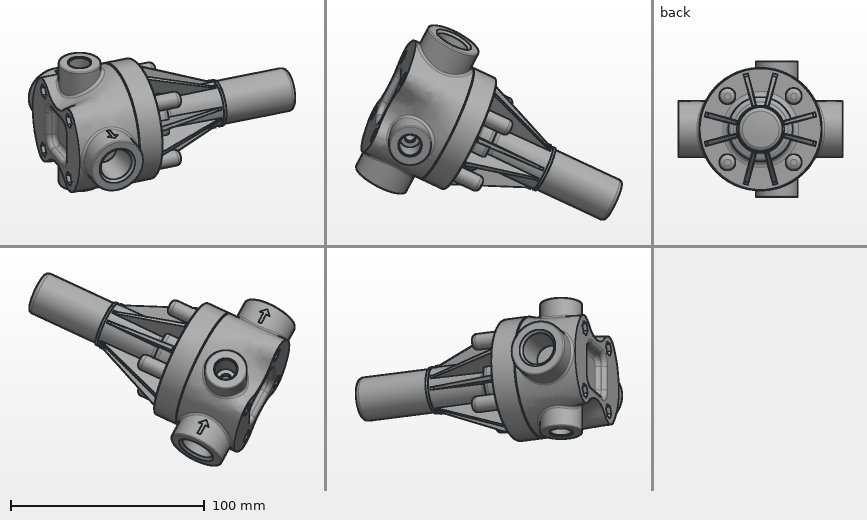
import cadquery as cq
import math


EMBED = 1.0

TOTAL_LENGTH = 130.38
FRONT_Y = -16.6
REAR_Y = FRONT_Y + TOTAL_LENGTH
BODY_LENGTH = 33.4
JOINT_Y = FRONT_Y + BODY_LENGTH
FLANGE_THICKNESS = 13.2
FLANGE_BACK_Y = JOINT_Y + FLANGE_THICKNESS

FLANGE_RADIUS = 63.5 / 2
FLANGE_CHAMFER = 0.4
LOBE_RADIUS = 8.0
LOBE_TOP = 23.8
SCALLOP_BOTTOM = 16.3
OUTLINE_POINTS = 48

EDGE_SAMPLE = 0.37
EDGE_TOLERANCE = 0.01

PORT_ROOT_DEPTH = 16.0
PORT_ROOT_FILLET = 1.3

SIDE_PORT_RADIUS = 29.18 / 2
SIDE_PORT_END = 85.09 / 2
SIDE_RIM_ROUND = 0.65
SIDE_BORE_RIM_RADIUS = 9.95
SIDE_BORE_RADIUS = 8.55
SIDE_BORE_END_RADIUS = 6.95
SIDE_BORE_CHAMFER = 1.4
SIDE_BORE_DEPTH = 18.0

GAUGE_PORT_X = -8.4
GAUGE_PORT_RADIUS = 21.84 / 2
GAUGE_PORT_END = 70.21 / 2
GAUGE_RIM_ROUND = 0.6
GAUGE_BORE_RADIUS = 11.11 / 2
GAUGE_BORE_CHAMFER = 0.6
GAUGE_BORE_DEPTH = 13.0
PILOT_RADIUS = 5.84 / 2
PILOT_DEPTH = 3.0
DRILL_POINT_HALF_ANGLE = 59.0

POCKET_WIDTH = 30.3
POCKET_HEIGHT = 28.0
POCKET_CORNER = 7.6
POCKET_ROUND = 2.54
POCKET_DEPTH = 5.2

BOLT_OFFSET = 17.1
BOLT_RADIUS = 8.38 / 2
BOLT_LENGTH = 15.3
BOLT_END_ROUND = 2.5
SOCKET_ACROSS_FLATS = 6.53
SOCKET_DEPTH = 3.0

BARREL_RADIUS = 22.73 / 2
BARREL_END_ROUND = 2.2
BARREL_DOME_HEIGHT = 0.9
NECK_RADIUS = 11.8
RING_RADIUS = 24.38 / 2
RING_WIDTH = 1.4
NECK_LENGTH = 43.7
COLLAR_RADIUS = 16.6
COLLAR_TOP_HEIGHT = 13.1
COLLAR_ROOT_FILLET = 3.0

RIB_ANGLE_FROM_AXES = 15.0
RIB_TOP_HEIGHT = 41.0
RIB_SLOPE_START_HEIGHT = 39.0
RIB_TOP_RADIUS = 12.55
RIB_FOOT_RADIUS = 28.2
RIB_FLARE = 1.3
RIB_TOP_THICKNESS = 1.4
RIB_FOOT_THICKNESS = 2.4

ARROW_LENGTH = 8.6
ARROW_HEAD_LENGTH = 2.9
ARROW_HEAD_WIDTH = 5.7
ARROW_SHAFT_WIDTH = 1.7
ARROW_HEIGHT = 0.12
ARROW_TIPS_X = (-30.6, 39.2)


def ray_circle(angle, center_x, center_z, radius, side):
    """Distance from the valve axis to a circle along a ray; side +1 is the far hit, -1 the near hit."""
    along = center_x * math.cos(angle) + center_z * math.sin(angle)
    across = center_x * math.sin(angle) - center_z * math.cos(angle)
    return along + side * math.sqrt(max(radius**2 - across**2, 0.0))


def front_outline_radius(angle):
    """Polar radius of the front face: round sides, four lobes, and a scallop above and below."""
    lobe_z = LOBE_TOP - LOBE_RADIUS
    lobe_x = math.sqrt((FLANGE_RADIUS - LOBE_RADIUS) ** 2 - lobe_z**2)
    gap = SCALLOP_BOTTOM - lobe_z
    scallop_radius = (lobe_x**2 + gap**2 - LOBE_RADIUS**2) / (2 * (LOBE_RADIUS - gap))
    scallop_z = SCALLOP_BOTTOM + scallop_radius
    share = LOBE_RADIUS / (LOBE_RADIUS + scallop_radius)
    lobe_start = math.atan2(lobe_z, lobe_x)
    lobe_end = math.atan2(lobe_z + share * (scallop_z - lobe_z), lobe_x * (1 - share))

    folded = math.atan2(abs(math.sin(angle)), abs(math.cos(angle)))
    if folded <= lobe_start:
        return FLANGE_RADIUS
    if folded <= lobe_end:
        return ray_circle(folded, lobe_x, lobe_z, LOBE_RADIUS, 1)
    return ray_circle(folded, 0.0, scallop_z, scallop_radius, -1)


def closed_section(y, radius_at):
    """Smooth closed wire around the Y axis, with its polar radius given as a function of the angle."""
    points = []
    for i in range(OUTLINE_POINTS):
        angle = 2 * math.pi * i / OUTLINE_POINTS
        radius = radius_at(angle)
        points.append(cq.Vector(radius * math.cos(angle), y, radius * math.sin(angle)))
    return cq.Wire.assembleEdges([cq.Edge.makeSpline(points, periodic=True)])


def cylinder(radius, length, start, direction):
    return cq.Workplane(cq.Solid.makeCylinder(radius, length, cq.Vector(*start), cq.Vector(*direction)))


def is_port_root(edge):
    """True for an edge where a port wall meets the cast body."""
    box = edge.BoundingBox()
    point = edge.positionAt(EDGE_SAMPLE)
    on_side = abs(math.hypot(point.y, point.z) - SIDE_PORT_RADIUS) < EDGE_TOLERANCE
    on_gauge = abs(math.hypot(point.x - GAUGE_PORT_X, point.y) - GAUGE_PORT_RADIUS) < EDGE_TOLERANCE
    side_root = on_side and box.xlen > EDGE_TOLERANCE
    gauge_root = on_gauge and box.zlen > EDGE_TOLERANCE
    return (side_root or gauge_root) and edge.geomType() != "LINE"


def make_flange():
    flange = cylinder(FLANGE_RADIUS, FLANGE_THICKNESS, (0, JOINT_Y, 0), (0, 1, 0))
    return flange.edges().chamfer(FLANGE_CHAMFER)


def make_stem():
    """Collar, neck, ring and domed barrel, turned about the Y axis."""
    collar_top_y = FLANGE_BACK_Y + COLLAR_TOP_HEIGHT
    step_round = (COLLAR_RADIUS - NECK_RADIUS) / 2
    step_y = collar_top_y - step_round
    neck_end_y = FLANGE_BACK_Y + NECK_LENGTH
    shoulder_y = REAR_Y - BARREL_DOME_HEIGHT
    dome_radius = (BARREL_RADIUS**2 + BARREL_DOME_HEIGHT**2) / (2 * BARREL_DOME_HEIGHT)
    profile = (
        cq.Workplane("XY")
        .moveTo(0, FLANGE_BACK_Y - EMBED)
        .lineTo(COLLAR_RADIUS + COLLAR_ROOT_FILLET, FLANGE_BACK_Y - EMBED)
        .lineTo(COLLAR_RADIUS + COLLAR_ROOT_FILLET, FLANGE_BACK_Y)
        .radiusArc((COLLAR_RADIUS, FLANGE_BACK_Y + COLLAR_ROOT_FILLET), COLLAR_ROOT_FILLET)
        .lineTo(COLLAR_RADIUS, step_y - step_round)
        .radiusArc((COLLAR_RADIUS - step_round, step_y), -step_round)
        .radiusArc((NECK_RADIUS, collar_top_y), step_round)
        .lineTo(NECK_RADIUS, neck_end_y - RING_WIDTH)
        .lineTo(RING_RADIUS, neck_end_y - RING_WIDTH)
        .lineTo(RING_RADIUS, neck_end_y)
        .lineTo(BARREL_RADIUS, neck_end_y)
        .lineTo(BARREL_RADIUS, shoulder_y)
        .radiusArc((0, REAR_Y), -dome_radius)
        .close()
    )
    stem = profile.revolve(360, (0, 0, 0), (0, 1, 0))
    return stem.edges(cq.NearestToPointSelector((0, shoulder_y, BARREL_RADIUS))).fillet(BARREL_END_ROUND)


def make_rib(angle):
    """Radial web with a sloping outer edge, thinner towards the barrel."""
    foot_y = FLANGE_BACK_Y
    top_y = foot_y + RIB_TOP_HEIGHT
    outline = (
        cq.Workplane("XY")
        .moveTo(0, foot_y - EMBED)
        .lineTo(RIB_FOOT_RADIUS + RIB_FLARE, foot_y - EMBED)
        .lineTo(RIB_FOOT_RADIUS + RIB_FLARE, foot_y)
        .lineTo(RIB_FOOT_RADIUS, foot_y + RIB_FLARE)
        .lineTo(RIB_TOP_RADIUS, foot_y + RIB_SLOPE_START_HEIGHT)
        .lineTo(RIB_TOP_RADIUS, top_y)
        .lineTo(0, top_y)
        .close()
        .extrude(RIB_FOOT_THICKNESS, both=True)
    )
    wedge = (
        cq.Workplane("YZ")
        .moveTo(foot_y - EMBED, -RIB_FOOT_THICKNESS / 2)
        .lineTo(top_y, -RIB_TOP_THICKNESS / 2)
        .lineTo(top_y, RIB_TOP_THICKNESS / 2)
        .lineTo(foot_y - EMBED, RIB_FOOT_THICKNESS / 2)
        .close()
        .extrude(FLANGE_RADIUS)
    )
    return outline.intersect(wedge).rotate((0, 0, 0), (0, 1, 0), angle)


def make_ribs():
    ribs = cq.Workplane()
    for quarter in range(4):
        for offset in (-RIB_ANGLE_FROM_AXES, RIB_ANGLE_FROM_AXES):
            ribs = ribs.add(make_rib(90 * quarter + offset))
    return ribs.combine()


def bolt_positions():
    return [(x, z) for x in (-BOLT_OFFSET, BOLT_OFFSET) for z in (-BOLT_OFFSET, BOLT_OFFSET)]


def make_bolt(x, z):
    bolt = cylinder(BOLT_RADIUS, BOLT_LENGTH + EMBED, (x, FLANGE_BACK_Y - EMBED, z), (0, 1, 0))
    return bolt.faces(">Y").edges().fillet(BOLT_END_ROUND)


def front_plane():
    """Sketch plane on the front face, with local X along +X and local Y along +Z."""
    return cq.Workplane("XZ", origin=(0, FRONT_Y, 0))


def make_pocket():
    """Solid that fills the front pocket, with its rounded floor and rounded mouth."""
    wall_inset = 2 * POCKET_ROUND
    pocket = front_plane().rect(POCKET_WIDTH - wall_inset, POCKET_HEIGHT - wall_inset).extrude(-POCKET_DEPTH)
    pocket = pocket.edges("|Y").fillet(POCKET_CORNER - POCKET_ROUND)
    pocket = pocket.faces(">Y").edges().fillet(POCKET_ROUND)
    plate = front_plane().rect(POCKET_WIDTH + EMBED, POCKET_HEIGHT + EMBED).extrude(-POCKET_DEPTH)
    mouth_box = cq.selectors.BoxSelector(
        (-POCKET_WIDTH / 2, FRONT_Y - EMBED, -POCKET_HEIGHT / 2),
        (POCKET_WIDTH / 2, FRONT_Y + EMBED, POCKET_HEIGHT / 2),
        boundingbox=True,
    )
    rounded_plate = plate.cut(pocket).faces("<Y").edges(mouth_box).fillet(POCKET_ROUND)
    return plate.cut(rounded_plate)


def make_sockets():
    corner_diameter = SOCKET_ACROSS_FLATS / math.cos(math.pi / 6)
    return front_plane().pushPoints(bolt_positions()).polygon(6, corner_diameter).extrude(-SOCKET_DEPTH)


def make_side_bore():
    """Tapered bore with a chamfered mouth in the +X port."""
    throat_x = SIDE_PORT_END - SIDE_BORE_CHAMFER
    bottom_x = SIDE_PORT_END - SIDE_BORE_DEPTH
    return (
        cq.Workplane("XY")
        .moveTo(bottom_x, 0)
        .lineTo(bottom_x, SIDE_BORE_END_RADIUS)
        .lineTo(throat_x, SIDE_BORE_RADIUS)
        .lineTo(SIDE_PORT_END, SIDE_BORE_RIM_RADIUS)
        .lineTo(SIDE_PORT_END, 0)
        .close()
        .revolve(360, (0, 0, 0), (1, 0, 0))
    )


def make_gauge_bore():
    """Stepped bore in the +Z port, ending in a drilled pilot hole."""
    bottom_z = GAUGE_PORT_END - GAUGE_BORE_DEPTH
    pilot_z = bottom_z - PILOT_DEPTH
    tip_z = pilot_z - PILOT_RADIUS / math.tan(math.radians(DRILL_POINT_HALF_ANGLE))
    bore = (
        cq.Workplane("XZ")
        .moveTo(0, tip_z)
        .lineTo(PILOT_RADIUS, pilot_z)
        .lineTo(PILOT_RADIUS, bottom_z)
        .lineTo(GAUGE_BORE_RADIUS, bottom_z)
        .lineTo(GAUGE_BORE_RADIUS, GAUGE_PORT_END - GAUGE_BORE_CHAMFER)
        .lineTo(GAUGE_BORE_RADIUS + GAUGE_BORE_CHAMFER, GAUGE_PORT_END)
        .lineTo(0, GAUGE_PORT_END)
        .close()
        .revolve(360, (0, 0, 0), (0, 1, 0))
    )
    return bore.translate((GAUGE_PORT_X, 0, 0))


def make_arrow(tip_x):
    """Flow arrow pointing along +X, raised on the top of a side port."""
    neck_x = tip_x - ARROW_HEAD_LENGTH
    tail_x = tip_x - ARROW_LENGTH
    prism = (
        cq.Workplane("XY")
        .moveTo(tip_x, 0)
        .lineTo(neck_x, ARROW_HEAD_WIDTH / 2)
        .lineTo(neck_x, ARROW_SHAFT_WIDTH / 2)
        .lineTo(tail_x, ARROW_SHAFT_WIDTH / 2)
        .lineTo(tail_x, -ARROW_SHAFT_WIDTH / 2)
        .lineTo(neck_x, -ARROW_SHAFT_WIDTH / 2)
        .lineTo(neck_x, -ARROW_HEAD_WIDTH / 2)
        .close()
        .extrude(SIDE_PORT_RADIUS + EMBED)
    )
    root_radius = SIDE_PORT_RADIUS - EMBED
    top_radius = SIDE_PORT_RADIUS + ARROW_HEIGHT
    port_axis_start = (-SIDE_PORT_END, 0, 0)
    outer = cylinder(top_radius, 2 * SIDE_PORT_END, port_axis_start, (1, 0, 0))
    inner = cylinder(root_radius, 2 * SIDE_PORT_END, port_axis_start, (1, 0, 0))
    return prism.intersect(outer).cut(inner)


def make_port(radius, end, rim_round, direction):
    """Plain port boss along a unit direction, rooted inside the body, with a rounded rim."""
    root_point = tuple(PORT_ROOT_DEPTH * part for part in direction)
    rim_point = tuple(end * part for part in direction)
    port = cylinder(radius, end - PORT_ROOT_DEPTH, root_point, direction)
    return port.faces(cq.NearestToPointSelector(rim_point)).edges().fillet(rim_round)


def make_body():
    """Cast body with its pocket, sockets, bored and blended ports, and flow arrows."""
    front_section = closed_section(FRONT_Y, front_outline_radius)
    joint_section = closed_section(JOINT_Y, lambda angle: FLANGE_RADIUS)
    body = cq.Workplane(cq.Solid.makeLoft([front_section, joint_section], ruled=True))
    body = body.cut(make_pocket()).cut(make_sockets())

    side_bore = make_side_bore()
    gauge_bore = make_gauge_bore()
    for sign in (-1, 1):
        side_port = make_port(SIDE_PORT_RADIUS, SIDE_PORT_END, SIDE_RIM_ROUND, (sign, 0, 0))
        gauge_port = make_port(GAUGE_PORT_RADIUS, GAUGE_PORT_END, GAUGE_RIM_ROUND, (0, 0, sign))
        body = body.union(side_port).union(gauge_port.translate((GAUGE_PORT_X, 0, 0)))
    body = body.cut(side_bore).cut(side_bore.mirror("YZ"))
    body = body.cut(gauge_bore).cut(gauge_bore.mirror("XY"))
    body = body.edges().filter(is_port_root).fillet(PORT_ROOT_FILLET)
    for arrow_tip_x in ARROW_TIPS_X:
        body = body.union(make_arrow(arrow_tip_x))
    return body


result = make_body().union(make_flange()).union(make_stem()).union(make_ribs())
for bolt_x, bolt_z in bolt_positions():
    result = result.union(make_bolt(bolt_x, bolt_z))